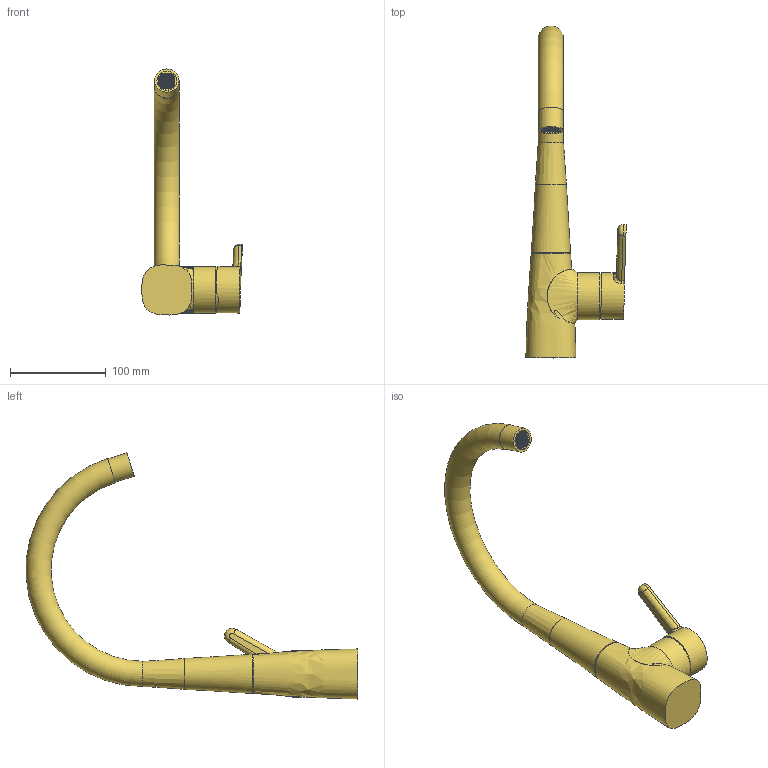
import cadquery as cq
import math


VALVE_Y = 64.5

BASE_STATION = (0.0, 26.3, 2.8)
VALVE_STATION = (VALVE_Y, 23.6, 2.6)
JOINT_STATION = (110.0, 20.6, 2.3)
NECK_STATION = (182.0, 16.2, 2.0)
BODY_STATIONS = (BASE_STATION, VALVE_STATION, JOINT_STATION, NECK_STATION)
OUTLINE_POINTS = 32
OUTLINE_ANGLES = [2 * math.pi * i / OUTLINE_POINTS for i in range(OUTLINE_POINTS)]
GROOVE_WIDTH = 1.0
GROOVE_DEPTH = 0.6

TUBE_RADIUS = 13.2
NECK_END = 225.5
BEND_RADIUS = 108.92
BEND_ANGLE = 162.6

NOZZLE_RADIUS = 12.7
NOZZLE_LENGTH = 21.0
RECESS_RADIUS = 10.4
RECESS_DEPTH = 1.0
MESH_PITCH = 1.6
MESH_OPENING = 1.0
MESH_DEPTH = 1.0

VALVE_RADIUS = 24.5
VALVE_END = 51.2
SPIGOT_END = VALVE_END + 4.0

COLLAR_HALF_LENGTH = 28.4
COLLAR_OVERHANG = 4.0
COLLAR_RISE = 0.35
COLLAR_CORE_X = 8.0
COLLAR_CORE_RADIUS = 12.0
COLLAR_END = 28.0

CAP_RADIUS = 24.3
CAP_FACE = 76.45
CAP_LENGTH = 24.0
CAP_LEAN = 1.55
LEVER_ANGLE = 30.6
LEVER_LENGTH = 86.0
LEVER_TIP_RADIUS = 8.0
LEVER_ROOT_HALF_WIDTH = 10.0
LEVER_THICKNESS = 8.5
LEVER_ROUNDING = 5.5
LEVER_ROOT_BLEND = 3.0


def across_body(y):
    """Work plane across the body axis, facing +Y."""
    return cq.Plane(origin=(0, y, 0), xDir=(1, 0, 0), normal=(0, 1, 0))


def signed_power(value, power):
    return math.copysign(abs(value) ** power, value)


def superellipse(half_width, exponent):
    points = []
    for angle in OUTLINE_ANGLES:
        x = half_width * signed_power(math.cos(angle), 2 / exponent)
        z = half_width * signed_power(math.sin(angle), 2 / exponent)
        points.append((x, z))
    return points


def closed_loop(plane, points):
    """Wire of one smooth closed curve through the points."""
    return cq.Workplane(plane).spline(points, periodic=True).close().val()


def body_outline(station):
    y, half_width, exponent = station
    return closed_loop(across_body(y), superellipse(half_width, exponent))


def tapered_body():
    return cq.Workplane(cq.Solid.makeLoft([body_outline(s) for s in BODY_STATIONS]))


def body_station(y):
    """Half width and exponent of the body at a distance y from the base."""
    for near, far in zip(BODY_STATIONS, BODY_STATIONS[1:]):
        if y <= far[0]:
            share = (y - near[0]) / (far[0] - near[0])
            return [n + share * (f - n) for n, f in zip(near[1:], far[1:])]
    return NECK_STATION[1:]


def collar_ring():
    """Loop wrapped over the body, just proud of its surface, where the valve collar starts."""
    points = []
    for angle in OUTLINE_ANGLES:
        y = VALVE_Y + COLLAR_HALF_LENGTH * math.cos(angle)
        half_width, exponent = body_station(y)
        half_width += COLLAR_RISE
        x = half_width - (half_width + COLLAR_OVERHANG) * abs(math.sin(angle))
        height = (half_width**exponent - abs(x) ** exponent) ** (1 / exponent)
        points.append((x, y, math.copysign(height, math.sin(angle))))
    return closed_loop("XY", points)


def circle_across_valve(x, radius):
    points = []
    for angle in OUTLINE_ANGLES:
        points.append((x, VALVE_Y + radius * math.cos(angle), radius * math.sin(angle)))
    return closed_loop("XY", points)


def valve_collar():
    """Collar spreading from the round valve barrel onto the body."""
    sections = [
        circle_across_valve(COLLAR_CORE_X, COLLAR_CORE_RADIUS),
        collar_ring(),
        circle_across_valve(COLLAR_END, VALVE_RADIUS),
    ]
    return cq.Workplane(cq.Solid.makeLoft(sections, True))


def joint_groove():
    """Material to remove for the thin groove around the body at its joint."""
    y, half_width, exponent = JOINT_STATION
    plane = across_body(y - GROOVE_WIDTH / 2)
    floor_outline = superellipse(half_width - GROOVE_DEPTH, exponent)
    core = cq.Workplane(plane).spline(floor_outline, periodic=True).close().extrude(GROOVE_WIDTH)
    return cq.Workplane(plane).circle(2 * half_width).extrude(GROOVE_WIDTH).cut(core)


def spout():
    """Neck cone followed by the bent tube."""
    neck_start, neck_half_width, _ = NECK_STATION
    neck = (
        cq.Workplane(across_body(neck_start))
        .circle(neck_half_width)
        .workplane(offset=NECK_END - neck_start)
        .circle(TUBE_RADIUS)
        .loft()
    )
    bend = (
        cq.Workplane(across_body(NECK_END))
        .circle(TUBE_RADIUS)
        .revolve(BEND_ANGLE, (0, -BEND_RADIUS), (1, -BEND_RADIUS))
    )
    return neck.union(bend)


def nozzle():
    angle = math.radians(BEND_ANGLE)
    centre = (0, NECK_END + BEND_RADIUS * math.sin(angle), BEND_RADIUS * (1 - math.cos(angle)))
    outward = (0, math.cos(angle), math.sin(angle))
    start = cq.Workplane(cq.Plane(origin=centre, xDir=(1, 0, 0), normal=outward))
    body = start.circle(NOZZLE_RADIUS).extrude(NOZZLE_LENGTH)
    recess = start.workplane(offset=NOZZLE_LENGTH - RECESS_DEPTH).circle(RECESS_RADIUS).extrude(RECESS_DEPTH)
    reach = int(RECESS_RADIUS / MESH_PITCH)
    cells = [
        (i * MESH_PITCH, j * MESH_PITCH)
        for i in range(-reach, reach + 1)
        for j in range(-reach, reach + 1)
        if math.hypot(i, j) * MESH_PITCH + MESH_OPENING < RECESS_RADIUS
    ]
    mesh = (
        start.workplane(offset=NOZZLE_LENGTH - RECESS_DEPTH - MESH_DEPTH)
        .pushPoints(cells)
        .rect(MESH_OPENING, MESH_OPENING)
        .extrude(MESH_DEPTH)
    )
    return body.cut(recess).cut(mesh)


def valve_barrel():
    """Straight barrel with a reduced spigot showing as a groove before the cap."""
    axis_plane = cq.Plane(origin=(COLLAR_END, VALVE_Y, 0), xDir=(0, 1, 0), normal=(1, 0, 0))
    barrel = cq.Workplane(axis_plane).circle(VALVE_RADIUS).extrude(VALVE_END - COLLAR_END)
    spigot = cq.Workplane(axis_plane).circle(CAP_RADIUS - GROOVE_DEPTH).extrude(SPIGOT_END - COLLAR_END)
    return barrel.union(spigot)


def lever_plane(depth):
    """Plane at a depth below the cap face: local x runs along the lever, local z points out of the cap."""
    lever = math.radians(LEVER_ANGLE)
    lean = math.radians(CAP_LEAN)
    along = cq.Vector(math.sin(lean), math.cos(lean) * math.cos(lever), math.cos(lean) * math.sin(lever))
    out = cq.Vector(math.cos(lean), -math.sin(lean) * math.cos(lever), -math.sin(lean) * math.sin(lever))
    return cq.Plane(origin=cq.Vector(CAP_FACE, VALVE_Y, 0) - out * depth, xDir=along, normal=out)


def cap():
    return cq.Workplane(lever_plane(CAP_LENGTH)).circle(CAP_RADIUS).extrude(CAP_LENGTH)


def lever():
    tip_centre = LEVER_LENGTH - LEVER_TIP_RADIUS
    return (
        cq.Workplane(lever_plane(LEVER_THICKNESS))
        .moveTo(0, -LEVER_ROOT_HALF_WIDTH)
        .lineTo(tip_centre, -LEVER_TIP_RADIUS)
        .threePointArc((LEVER_LENGTH, 0), (tip_centre, LEVER_TIP_RADIUS))
        .lineTo(0, LEVER_ROOT_HALF_WIDTH)
        .close()
        .extrude(LEVER_THICKNESS)
        .faces("<X")
        .edges()
        .fillet(LEVER_ROUNDING)
    )


def cap_with_lever():
    """Cap and lever, with a fillet all round the lever where it leaves the cap."""
    lever_root = lever_plane(LEVER_THICKNESS).toWorldCoords((CAP_RADIUS, 0, 0))
    root_edge = cq.selectors.NearestToPointSelector(lever_root.toTuple())
    return cap().union(lever()).edges(root_edge).fillet(LEVER_ROOT_BLEND)


result = (
    tapered_body()
    .union(valve_collar())
    .cut(joint_groove())
    .union(spout())
    .union(nozzle())
    .union(valve_barrel())
    .union(cap_with_lever())
)